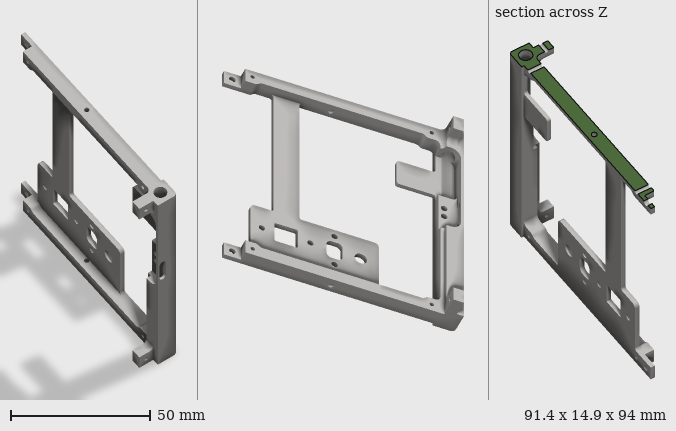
import cadquery as cq
import math

width = 91.4
height = 94.0
mid_height = height / 2

frame_back = 1.0
end_tab_front = 2.8
plate_front = 3.0
rail_front = 6.9
column_front = 8.7
leg_front = 14.9

rail_height = 4.9
pad_height = 6.2
pad_left_end = 10.3
pad_right_start = 78.6
pad_step_length = 3.0
end_tab_length = 6.6
fillet = 2.0
small_fillet = 1.0

column_left = 82.9
leg_left = 84.5
leg_width = 4.1
back_fillet = 1.5
collar_fillet = column_front - rail_front

pocket_right = 90.2
pocket_bottom = 44.0
pocket_top = 84.3
pocket_fillet = 4.0
pocket_shallow_floor = 5.2
deep_pocket_bottom = 62.0
pocket_deep_floor = 2.6
pocket_screw_x = 85.2
pocket_screw_heights = (52.0, 56.0)
pocket_screw_diameter = 2.5
pocket_screw_depth = 2.35
drill_tip_angle = 118.0

bore_x = 87.0
bore_depth = 4.4
bore_diameter = 5.0
bore_bottom = 64.2
side_slot_width = 2.7
side_slot_depth = pocket_shallow_floor + side_slot_width / 2
side_slot_bottom = 48.9
side_slot_top = 59.0

side_tab_left = 67.7
side_tab_bottom = 64.2
side_tab_top = 75.95

plate_left = pad_left_end
plate_right = 60.5
plate_top = 29.9
plate_fillet = 1.8
strip_left = 19.4
strip_right = 29.4

connector_z = 19.5
square_center_x = 24.25
square_width = 9.1
square_height = 9.0
square_fillet = 0.5
square_screw_pitch = 19.0
slot_center_x = 43.2
slot_width = 6.3
slot_height = 8.4
slot_fillet = 2.0
slot_screw_pitch = 14.3
plate_screw_diameter = 2.4
round_hole_x = 53.5
round_hole_diameter = 4.8

mount_z = 3.0
end_tab_hole_x = 3.3
end_tab_hole_diameter = 2.5
pad_hole_x = (9.5, 79.6)
pad_hole_diameter = 1.7
leg_hole_depth = 11.8
leg_hole_diameter = 1.6
rail_hole_x = 41.4
rail_hole_depth = 3.9
rail_hole_diameter = 2.0


def box(x_range, depth_range, z_range):
    """Block between two X values, two depths from the back and two Z values."""
    (x0, x1), (d0, d1), (z0, z1) = x_range, depth_range, z_range
    return cq.Workplane("XY").box(x1 - x0, d1 - d0, z1 - z0, centered=False).translate((x0, -d1, z0))


def front_plane(depth):
    """XZ sketch plane at a depth from the back; positive extrusion goes toward the front."""
    return cq.Workplane("XZ", origin=(0, -depth, 0))


def mirrored_pair(solid):
    """The solid together with its copy in the upper half of the frame."""
    return solid.union(solid.mirror("XY", (0, 0, mid_height)))


def corner_fillet_x(depth, z, radius, x_range):
    """Bar along X filling the concave corner above z and in front of depth."""
    x0, x1 = x_range
    block = box(x_range, (depth, depth + radius), (z, z + radius))
    cylinder = cq.Workplane("YZ", origin=(x0, 0, 0)).center(-depth - radius, z + radius)
    return block.cut(cylinder.circle(radius).extrude(x1 - x0))


def make_opening():
    """Window between the rails, open to the left, with thicker pads at both rail ends."""
    step_left = pad_left_end + pad_step_length
    step_right = pad_right_start - pad_step_length
    step_z = (pad_height + rail_height) / 2
    lower_half = (
        front_plane(0)
        .moveTo(0, mid_height)
        .lineTo(0, pad_height)
        .lineTo(pad_left_end, pad_height)
        .tangentArcPoint((pad_left_end + pad_step_length / 2, step_z), relative=False)
        .tangentArcPoint((step_left, rail_height), relative=False)
        .lineTo(step_right, rail_height)
        .tangentArcPoint((step_right + pad_step_length / 2, step_z), relative=False)
        .tangentArcPoint((pad_right_start, pad_height), relative=False)
        .lineTo(column_left - fillet, pad_height)
        .tangentArcPoint((column_left, pad_height + fillet), relative=False)
        .lineTo(column_left, mid_height)
        .close()
        .extrude(leg_front)
    )
    return mirrored_pair(lower_half)


def make_frame():
    """Rails, column, legs and the rounded inside corner of the upper collar."""
    slab = box((0, column_left), (frame_back, rail_front), (0, height))
    tab_relief = box((0, end_tab_length), (end_tab_front, rail_front), (0, height))
    column = (
        box((column_left, width), (0, column_front), (0, height))
        .edges("|Z and >X and >Y").fillet(back_fillet)
        .cut(box((column_left, leg_left), (rail_front, column_front), (0, height)))
    )
    leg_sides = (leg_left, leg_left + leg_width)
    leg = box(leg_sides, (column_front, leg_front), (0, pad_height))
    leg = leg.union(corner_fillet_x(column_front, pad_height, fillet, leg_sides))
    collar = (
        box((leg_left - collar_fillet, leg_left), (rail_front, column_front), (pocket_top, height))
        .cut(
            cq.Workplane("XY", origin=(0, 0, pocket_top))
            .center(leg_left - collar_fillet, -column_front)
            .circle(collar_fillet)
            .extrude(height - pocket_top)
        )
    )
    frame = slab.cut(tab_relief).union(column).union(mirrored_pair(leg)).union(collar)
    return frame.cut(make_opening())


def drill_mounting_holes(frame):
    """Holes in the end tabs, rail pads and legs, and one across each rail."""
    holes = (
        front_plane(0).center(end_tab_hole_x, mount_z)
        .circle(end_tab_hole_diameter / 2).extrude(rail_front)
    )
    for x in pad_hole_x:
        holes = holes.union(
            front_plane(0).center(x, mount_z).circle(pad_hole_diameter / 2).extrude(rail_front)
        )
    holes = holes.union(
        cq.Workplane("YZ", origin=(leg_left, 0, 0)).center(-leg_hole_depth, mount_z)
        .circle(leg_hole_diameter / 2).extrude(leg_width)
    )
    holes = holes.union(
        cq.Workplane("XY").center(rail_hole_x, -rail_hole_depth)
        .circle(rail_hole_diameter / 2).extrude(rail_height)
    )
    return frame.cut(mirrored_pair(holes))


def make_side_tab():
    """Flat tab reaching left from the column, flush with the deep pocket floor."""
    return box(
        (side_tab_left, column_left), (frame_back, pocket_deep_floor), (side_tab_bottom, side_tab_top)
    ).edges("|Y and <X").fillet(small_fillet)


def make_pocket():
    """Two-level pocket open to the left, with drilled screw holes, bore and side slot."""
    sides = (column_left, pocket_right)
    shallow = (
        box(sides, (pocket_shallow_floor, column_front), (pocket_bottom, pocket_top))
        .edges("|Y and >X").fillet(pocket_fillet)
    )
    deep = (
        box(sides, (pocket_deep_floor, column_front), (deep_pocket_bottom, pocket_top))
        .edges("|Y and >X and >Z").fillet(pocket_fillet)
        .edges("|Y and >X and <Z").fillet(fillet)
    )
    bore = (
        cq.Workplane("XY", origin=(0, 0, bore_bottom)).center(bore_x, -bore_depth)
        .circle(bore_diameter / 2).extrude(height - bore_bottom)
    )
    side_slot = (
        cq.Workplane("YZ", origin=(bore_x, 0, 0))
        .center(-side_slot_depth, (side_slot_bottom + side_slot_top) / 2)
        .slot2D(side_slot_top - side_slot_bottom, side_slot_width, 90)
        .extrude(width - bore_x)
    )
    pocket = shallow.union(deep).union(bore).union(side_slot)

    screw_radius = pocket_screw_diameter / 2
    tip_length = screw_radius / math.tan(math.radians(drill_tip_angle / 2))
    for z in pocket_screw_heights:
        drill = (
            cq.Workplane("XY")
            .moveTo(0, 0)
            .lineTo(screw_radius, 0)
            .lineTo(screw_radius, pocket_screw_depth)
            .lineTo(0, pocket_screw_depth + tip_length)
            .close()
            .revolve(360, (0, 0, 0), (0, 1, 0))
        )
        pocket = pocket.union(drill.translate((pocket_screw_x, -pocket_shallow_floor, z)))
    return pocket


def make_panel():
    """Connector plate on the lower rail with a strip running up to the upper rail."""
    plate = (
        box((plate_left, plate_right), (frame_back, plate_front), (rail_height, plate_top))
        .edges("|Y and >Z").fillet(plate_fillet)
    )
    strip = box((strip_left, strip_right), (frame_back, plate_front), (plate_top, height - rail_height))
    return plate.union(strip)


def cut_connectors(panel):
    """Square and rounded windows with their screw pairs, and one round hole."""
    depth = plate_front
    square = (
        front_plane(0).center(square_center_x, connector_z)
        .rect(square_width, square_height).extrude(depth).edges("|Y").fillet(square_fillet)
    )
    slot = (
        front_plane(0).center(slot_center_x, connector_z)
        .rect(slot_width, slot_height).extrude(depth).edges("|Y").fillet(slot_fillet)
    )
    screws = [
        (square_center_x - square_screw_pitch / 2, connector_z),
        (square_center_x + square_screw_pitch / 2, connector_z),
        (slot_center_x, connector_z - slot_screw_pitch / 2),
        (slot_center_x, connector_z + slot_screw_pitch / 2),
    ]
    screw_holes = front_plane(0).pushPoints(screws).circle(plate_screw_diameter / 2).extrude(depth)
    round_hole = (
        front_plane(0).center(round_hole_x, connector_z).circle(round_hole_diameter / 2).extrude(depth)
    )
    return panel.cut(square).cut(slot).cut(screw_holes).cut(round_hole)


def corner_web(x, z, x_side, z_side, front):
    """Small concave fillet in the corner at (x, z), reaching toward the given sides."""
    r = small_fillet
    return (
        front_plane(frame_back)
        .moveTo(x, z)
        .lineTo(x + x_side * r, z)
        .radiusArc((x, z + z_side * r), x_side * z_side * r)
        .close()
        .extrude(front - frame_back)
    )


panel_corners = [
    (plate_left, pad_height, -1, 1),
    (plate_right, rail_height, 1, 1),
    (strip_left, plate_top, -1, 1),
    (strip_right, plate_top, 1, 1),
    (strip_left, height - rail_height, -1, -1),
    (strip_right, height - rail_height, 1, -1),
]
side_tab_corners = [
    (column_left, side_tab_top, -1, 1),
    (column_left, side_tab_bottom, -1, -1),
]

frame = drill_mounting_holes(make_frame()).cut(make_pocket())
result = frame.union(make_side_tab()).union(cut_connectors(make_panel()))
for corner in panel_corners:
    result = result.union(corner_web(*corner, plate_front))
for corner in side_tab_corners:
    result = result.union(corner_web(*corner, pocket_deep_floor))